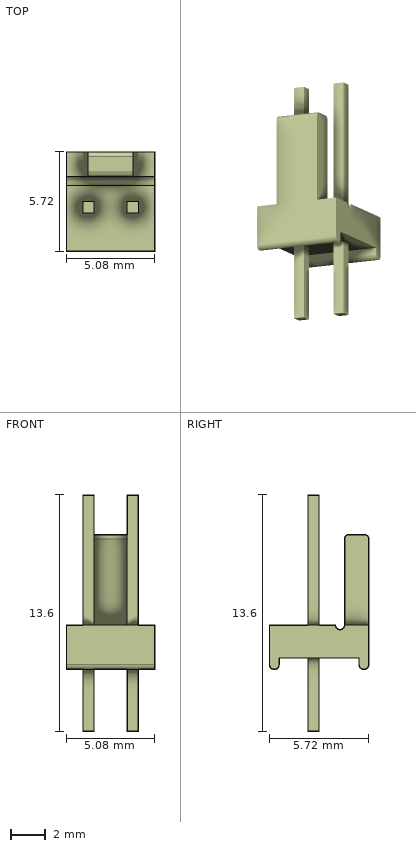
import cadquery as cq

pin_pitch = 2.54
pin_count = 2
housing_width = pin_count * pin_pitch
housing_depth = 5.72
housing_front = -2.54
housing_back = housing_front + housing_depth
housing_top = 2.55
housing_underside = 0.65

foot_width = 0.57
foot_radius = foot_width / 2

tab_width = 2.58
tab_thickness = 1.4
tab_top = 7.76
tab_fillet = 0.26
tab_front = housing_back - tab_thickness
groove_radius = 0.26

pin_size = 0.64
pin_length = 13.59
pin_bottom = -3.56


def x_centred_box(width, y_front, y_back, z_bottom, z_top):
    """Box centred on X and bounded by the given Y and Z limits."""
    return (
        cq.Workplane("XY")
        .box(width, y_back - y_front, z_top - z_bottom, centered=(True, False, False))
        .translate((0, y_front, z_bottom))
    )


def x_cylinder(radius, y, z):
    """Cylinder along X spanning the housing width."""
    return (
        cq.Workplane("YZ", origin=(-housing_width / 2, 0, 0))
        .center(y, z)
        .circle(radius)
        .extrude(housing_width)
    )


def make_foot(y_front):
    """Foot with a fully rounded lower edge."""
    leg = x_centred_box(
        housing_width, y_front, y_front + foot_width, foot_radius, housing_top
    )
    return leg.union(x_cylinder(foot_radius, y_front + foot_radius, foot_radius))


def make_housing():
    """Block on two feet, grooved in front of the locking tab."""
    housing = x_centred_box(
        housing_width, housing_front, housing_back, housing_underside, housing_top
    )
    for y_front in (housing_front, housing_back - foot_width):
        housing = housing.union(make_foot(y_front))
    return housing.cut(x_cylinder(groove_radius, tab_front - groove_radius, housing_top))


def make_tab():
    """Upright locking tab with rounded top edges."""
    tab = x_centred_box(tab_width, tab_front, housing_back, housing_underside, tab_top)
    return tab.faces(">Z").edges("|X").fillet(tab_fillet)


def make_pin(x):
    """Square pin centred on Y = 0, passing through the housing."""
    pin = x_centred_box(
        pin_size, -pin_size / 2, pin_size / 2, pin_bottom, pin_bottom + pin_length
    )
    return pin.translate((x, 0, 0))


result = make_housing().union(make_tab())
for index in range(pin_count):
    result = result.union(make_pin((index - (pin_count - 1) / 2) * pin_pitch))